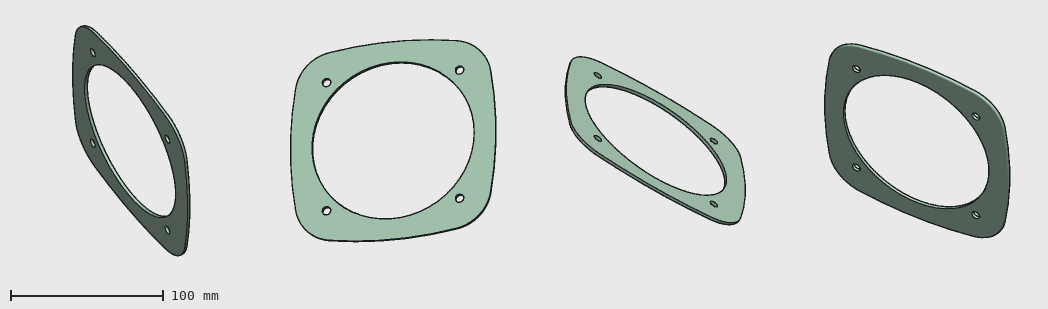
import cadquery as cq
import math

size = 138.6
thickness = 2.4
back_edge_round = 1.0
side_radius = 260.6
corner_radius = 27.7

bore_diameter = 109.5
bolt_hole_diameter = 5.7
bolt_spacing = 89.8

half_size = size / 2
side_center = side_radius - half_size

center_gap = side_radius - corner_radius
corner_center = (math.sqrt(2 * center_gap**2 - side_center**2) - side_center) / 2
corner_middle = corner_center + corner_radius / math.sqrt(2)

tangent_along = corner_center * side_radius / center_gap
tangent_out = (corner_center + side_center) * side_radius / center_gap - side_center


def rotate_quarter(point, turns):
    """Turn a point clockwise about the plate center by quarter turns."""
    x, z = point
    for _ in range(turns):
        x, z = z, -x
    return x, z


def make_plate():
    outline = cq.Workplane("XZ").moveTo(-tangent_along, tangent_out)
    for turns in range(4):
        side_middle = rotate_quarter((0, half_size), turns)
        side_end = rotate_quarter((tangent_along, tangent_out), turns)
        corner_mid = rotate_quarter((corner_middle, corner_middle), turns)
        corner_end = rotate_quarter((tangent_out, tangent_along), turns)
        outline = outline.threePointArc(side_middle, side_end)
        outline = outline.threePointArc(corner_mid, corner_end)
    plate = outline.close().extrude(thickness / 2, both=True)
    return plate.faces(">Y").edges().fillet(back_edge_round)


def cut_openings(plate):
    front = plate.faces("<Y").workplane(origin=(0, 0, 0))
    plate = front.circle(bore_diameter / 2).cutThruAll()
    bolt_face = plate.faces("<Y").workplane(origin=(0, 0, 0))
    bolt_points = bolt_face.rect(bolt_spacing, bolt_spacing, forConstruction=True).vertices()
    return bolt_points.circle(bolt_hole_diameter / 2).cutThruAll()


result = cut_openings(make_plate())